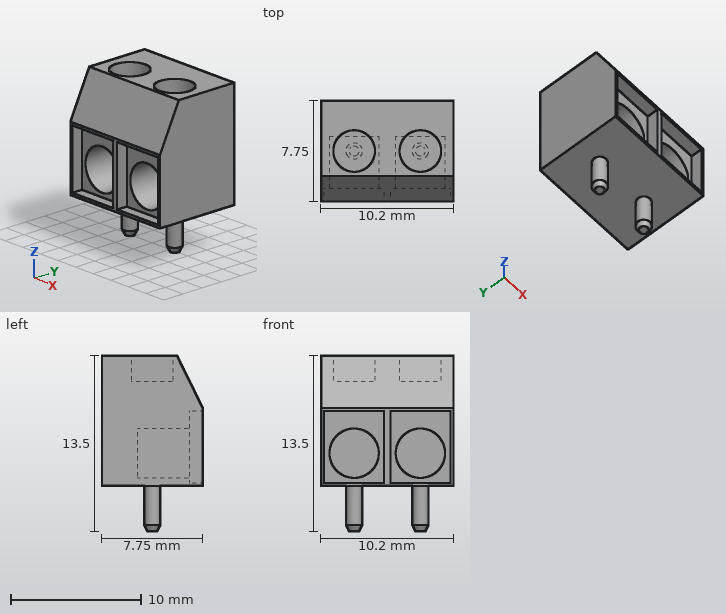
import cadquery as cq

pole_count = 2
width = 10.17
pitch = width / pole_count
depth = 7.75
total_height = 13.5
pin_length = 3.5
body_height = total_height - pin_length

front_face_height = 6.0
slope_run = 1.97

wall = 0.24
recess_depth = 1.0

wire_hole_diameter = 3.8
wire_hole_height = 2.51
wire_hole_depth = 5.0
screw_hole_diameter = 3.2
screw_hole_depth = 2.0

pin_diameter = 1.25
pin_tip_diameter = 0.75
pin_taper_length = 0.5

front_y = -depth / 2
back_y = depth / 2
pole_positions = [(i - (pole_count - 1) / 2) * pitch for i in range(pole_count)]


def make_housing():
    """Block with a sloped upper front edge, extruded along X."""
    profile = [
        (back_y, 0),
        (back_y, body_height),
        (front_y + slope_run, body_height),
        (front_y, front_face_height),
        (front_y, 0),
    ]
    return cq.Workplane("YZ").polyline(profile).close().extrude(width / 2, both=True)


def make_recess(x):
    """Rectangular pocket that leaves a thin wall on every side of the front face."""
    return cq.Workplane("XY").box(
        pitch - 2 * wall, recess_depth, front_face_height - 2 * wall
    ).translate((x, front_y + recess_depth / 2, front_face_height / 2))


def make_wire_hole(x):
    """Blind round hole running back from the front face."""
    return (
        cq.Workplane("XZ", origin=(x, front_y, wire_hole_height))
        .circle(wire_hole_diameter / 2)
        .extrude(-wire_hole_depth)
    )


def make_screw_hole(x):
    """Blind round hole running down from the top face."""
    return (
        cq.Workplane("XY", origin=(x, 0, body_height))
        .circle(screw_hole_diameter / 2)
        .extrude(-screw_hole_depth)
    )


def make_pin(x):
    """Round pin below the housing with a tapered tip."""
    return (
        cq.Workplane("XZ", origin=(x, 0, 0))
        .polyline([
            (0, 0),
            (pin_diameter / 2, 0),
            (pin_diameter / 2, pin_taper_length - pin_length),
            (pin_tip_diameter / 2, -pin_length),
            (0, -pin_length),
        ])
        .close()
        .revolve(360, (0, 0, 0), (0, 1, 0))
    )


result = make_housing()
for pole_x in pole_positions:
    result = result.cut(make_recess(pole_x))
    result = result.cut(make_wire_hole(pole_x))
    result = result.cut(make_screw_hole(pole_x))
    result = result.union(make_pin(pole_x))